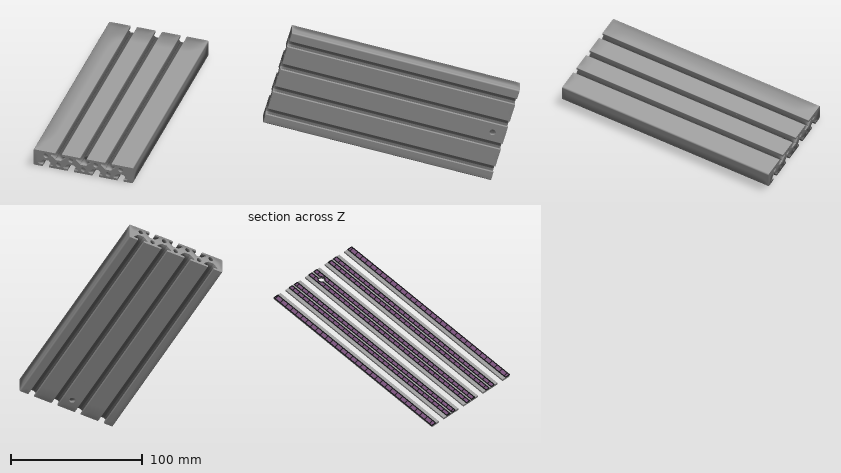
import cadquery as cq
import math

WIDTH = 80.0
LENGTH = 180.0
HEIGHT = 14.0
EDGE_RADIUS = 1.0

BOTTOM_SLOT_COUNT = 4
TOP_SLOT_COUNT = BOTTOM_SLOT_COUNT - 1
SLOT_PITCH = WIDTH / BOTTOM_SLOT_COUNT

MOUTH_WIDTH = 5.0
LIP_RADIUS = 0.3
LIP_THICKNESS = 1.8
UNDERCUT_WIDTH = 11.9
UNDERCUT_BEVEL = 0.7
UNDERCUT_WALL = 0.2
FLOOR_WIDTH = 5.0
FLOOR_STEP = 0.4
SLOT_DEPTH = 6.1

BORE_DIAMETER = 4.0
BORE_INSET = 4.0

MOUNT_HOLE_DIAMETER = 4.9
MOUNT_HOLE_INSET = 10.0


def row_places(count):
    """X places of a row of evenly pitched features, centred on X = 0."""
    return [(i - (count - 1) / 2) * SLOT_PITCH for i in range(count)]


def make_slot_cutter():
    """Full-length T-slot opening upwards, centred on X = 0 with its mouth at Z = 0."""
    half_mouth = MOUTH_WIDTH / 2
    half_undercut = UNDERCUT_WIDTH / 2
    half_floor = FLOOR_WIDTH / 2
    lip_arc_offset = LIP_RADIUS * (1 - math.sqrt(0.5))
    right_side = [
        (half_mouth, -LIP_THICKNESS),
        (half_undercut - UNDERCUT_BEVEL, -LIP_THICKNESS),
        (half_undercut, -LIP_THICKNESS - UNDERCUT_BEVEL),
        (half_undercut, -LIP_THICKNESS - UNDERCUT_BEVEL - UNDERCUT_WALL),
        (half_floor, -SLOT_DEPTH + FLOOR_STEP),
        (half_floor, -SLOT_DEPTH),
    ]
    left_side = [(-x, z) for x, z in reversed(right_side)]
    section = (
        cq.Workplane("XZ")
        .moveTo(half_mouth + LIP_RADIUS, 0)
        .threePointArc((half_mouth + lip_arc_offset, -lip_arc_offset), (half_mouth, -LIP_RADIUS))
        .polyline(right_side + left_side, includeCurrent=True)
        .lineTo(-half_mouth, -LIP_RADIUS)
        .threePointArc((-half_mouth - lip_arc_offset, -lip_arc_offset), (-half_mouth - LIP_RADIUS, 0))
        .close()
    )
    return section.extrude(LENGTH / 2, both=True)


def bore_cutters(places, z):
    """Full-length round bores at the given X places."""
    centres = [(x, z) for x in places]
    section = cq.Workplane("XZ").pushPoints(centres).circle(BORE_DIAMETER / 2)
    return section.extrude(LENGTH / 2, both=True)


result = cq.Workplane("XY").box(WIDTH, LENGTH, HEIGHT).edges("|Y").fillet(EDGE_RADIUS)

top_slot_places = row_places(TOP_SLOT_COUNT)
bottom_slot_places = row_places(BOTTOM_SLOT_COUNT)

top_slot = make_slot_cutter()
bottom_slot = top_slot.mirror("XY")
for slot_x in top_slot_places:
    result = result.cut(top_slot.translate((slot_x, 0, HEIGHT / 2)))
for slot_x in bottom_slot_places:
    result = result.cut(bottom_slot.translate((slot_x, 0, -HEIGHT / 2)))

result = result.cut(bore_cutters(bottom_slot_places, HEIGHT / 2 - BORE_INSET))
result = result.cut(bore_cutters(top_slot_places, BORE_INSET - HEIGHT / 2))

mount_hole = (
    cq.Workplane("XY")
    .center(0, MOUNT_HOLE_INSET - LENGTH / 2)
    .circle(MOUNT_HOLE_DIAMETER / 2)
    .extrude(HEIGHT / 2, both=True)
)
result = result.cut(mount_hole)